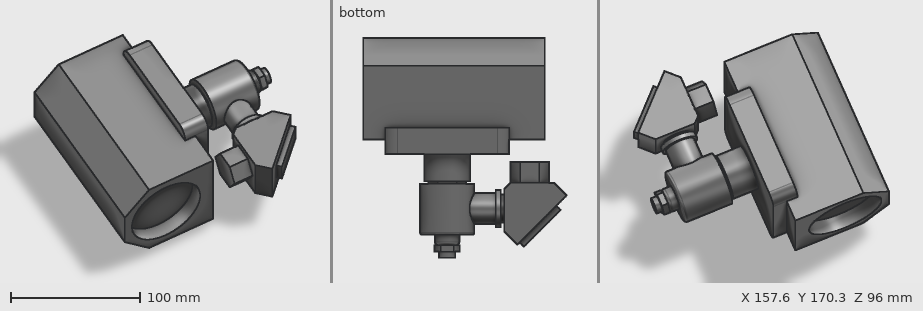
import cadquery as cq
import math


block_length = 140.7
block_depth = 78.8
block_height = 74.6
block_chamfer = 21.6
block_center_x = 5.3
port_diameter = 61.0
port_center_y = -42.0
port_depth = 12.0

plate_size = 96.0
plate_thickness = 20.5
plate_rise = 11.2
plate_corner_radius = 9.4
stem_diameter = 36.0
stem_length = 21.0
seat_hex_flats = 25.5
seat_hex_length = 2.0

coil_diameter = 42.2
coil_length = 39.3
coil_edge_radius = 1.7
cap_diameter = 19.0
cap_length = 8.0
cap_edge_radius = 2.4
nut_flats = 17.0
nut_length = 5.1
stud_diameter = 12.8

arm_y = 53.3
arm_diameter = 24.2
flange_start_x = 37.5
flange_diameter = 29.1
flange_thickness = 4.1
neck_diameter = 22.1
neck_length = 2.5

plug_height = 36.0
plug_bottom_y = 33.4
plug_bottom_chamfer = 4.8
plug_side_top_y = 71.2
plug_top_run = 10.2
plug_slope_run = 38.3
lid_rise = 4.6
lid_top_inset = 2.5
lid_length = 40.2
lid_height = 15.3
gland_corners = 30.1
gland_length = 16.2

total_depth = 170.3

plate_back_y = plate_rise
stem_end_y = plate_back_y + stem_length
coil_start_y = stem_end_y + seat_hex_length
coil_end_y = coil_start_y + coil_length
cap_end_y = coil_end_y + cap_length
nut_end_y = cap_end_y + nut_length
stud_end_y = total_depth - block_depth
flange_end_x = flange_start_x + flange_thickness
plug_face_x = flange_end_x + neck_length
gland_center_x = plug_face_x + plug_bottom_chamfer + gland_corners / 2


def disc_along_y(diameter, start_y, end_y):
    """Cylinder on the coil axis between two Y stations."""
    plane = cq.Workplane("XZ", origin=(0, start_y, 0))
    return plane.circle(diameter / 2).extrude(start_y - end_y)


def hexagon_along_y(corner_diameter, center_x, start_y, end_y):
    """Hexagonal prism along Y with two of its corners pointing along X."""
    plane = cq.Workplane("XZ", origin=(center_x, start_y, 0))
    return plane.polygon(6, corner_diameter).extrude(start_y - end_y)


def disc_along_x(diameter, center_y, start_x, end_x):
    """Cylinder parallel to X between two X stations."""
    plane = cq.Workplane("YZ", origin=(start_x, center_y, 0))
    return plane.circle(diameter / 2).extrude(end_x - start_x)


def corners_from_flats(flats):
    return flats / math.cos(math.pi / 6)


def make_valve_body():
    block = (
        cq.Workplane("XY")
        .box(block_length, block_depth, block_height)
        .translate((block_center_x, -block_depth / 2, 0))
        .edges("|X and <Y")
        .chamfer(block_chamfer)
    )
    plate = (
        cq.Workplane("XY")
        .box(plate_size, plate_thickness, plate_size)
        .translate((0, plate_back_y - plate_thickness / 2, 0))
        .edges("|Y")
        .fillet(plate_corner_radius)
    )
    stem = disc_along_y(stem_diameter, plate_back_y, stem_end_y)
    seat = hexagon_along_y(corners_from_flats(seat_hex_flats), 0, stem_end_y, coil_start_y)
    body = block.union(plate).union(stem).union(seat)

    for side in (-1, 1):
        end_x = block_center_x + side * block_length / 2
        port = disc_along_x(port_diameter, port_center_y, end_x, end_x - side * port_depth)
        body = body.cut(port)
    return body


def make_coil():
    housing = disc_along_y(coil_diameter, coil_start_y, coil_end_y)
    housing = housing.faces(">Y").edges().fillet(coil_edge_radius)
    cap = disc_along_y(cap_diameter, coil_end_y, cap_end_y)
    cap = cap.faces(">Y").edges().fillet(cap_edge_radius)
    nut = hexagon_along_y(corners_from_flats(nut_flats), 0, cap_end_y, nut_end_y)
    stud = disc_along_y(stud_diameter, nut_end_y, stud_end_y)
    arm = disc_along_x(arm_diameter, arm_y, 0, flange_start_x)
    flange = disc_along_x(flange_diameter, arm_y, flange_start_x, flange_end_x)
    neck = disc_along_x(neck_diameter, arm_y, flange_end_x, plug_face_x)
    return housing.union(cap).union(nut).union(stud).union(arm).union(flange).union(neck)


def make_plug():
    peak_x = plug_face_x + plug_top_run
    peak_y = plug_side_top_y + plug_top_run
    tip_x = peak_x + plug_slope_run
    tip_y = peak_y - plug_slope_run
    shell = (
        cq.Workplane("XY", origin=(0, 0, -plug_height / 2))
        .moveTo(plug_face_x, plug_side_top_y)
        .lineTo(peak_x, peak_y)
        .lineTo(tip_x, tip_y)
        .lineTo(tip_x - (tip_y - plug_bottom_y), plug_bottom_y)
        .lineTo(plug_face_x + plug_bottom_chamfer, plug_bottom_y)
        .lineTo(plug_face_x, plug_bottom_y + plug_bottom_chamfer)
        .close()
        .extrude(plug_height)
    )
    slope = cq.Plane(origin=(peak_x, peak_y, 0), xDir=(1, -1, 0), normal=(1, 1, 0))
    lid = (
        cq.Workplane(slope)
        .center(lid_top_inset + lid_length / 2, 0)
        .rect(lid_length, lid_height)
        .extrude(lid_rise)
    )
    gland = hexagon_along_y(gland_corners, gland_center_x, plug_bottom_y - gland_length, plug_bottom_y)
    return shell.union(lid).union(gland)


valve_body = make_valve_body()
coil = make_coil()
plug = make_plug()

result = cq.Compound.makeCompound([valve_body.val(), coil.val(), plug.val()])